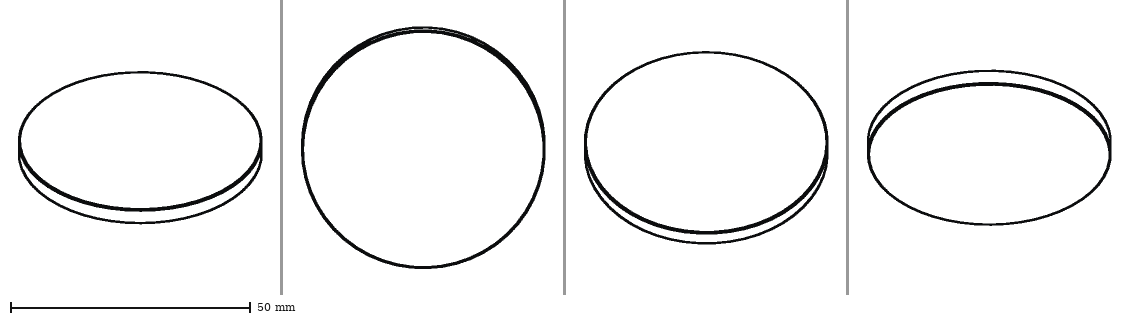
import cadquery as cq

diameter = 50.8
center_thickness = 5.54
edge_thickness = 3.6
bevel = 0.25

radius = diameter / 2
dome_radius = radius - bevel
sag = center_thickness - edge_thickness
curvature = (dome_radius**2 + sag**2) / (2 * sag)

mid_x = dome_radius / 2
mid_z = center_thickness - curvature + (curvature**2 - mid_x**2) ** 0.5


def lens_profile():
    """Half section of the lens in the XZ plane, from the axis outward."""
    return (
        cq.Workplane("XZ")
        .moveTo(0, 0)
        .lineTo(radius - bevel, 0)
        .lineTo(radius, bevel)
        .lineTo(radius, edge_thickness - bevel)
        .lineTo(dome_radius, edge_thickness)
        .threePointArc((mid_x, mid_z), (0, center_thickness))
        .close()
    )


result = lens_profile().revolve(360, (0, 0, 0), (0, 1, 0))